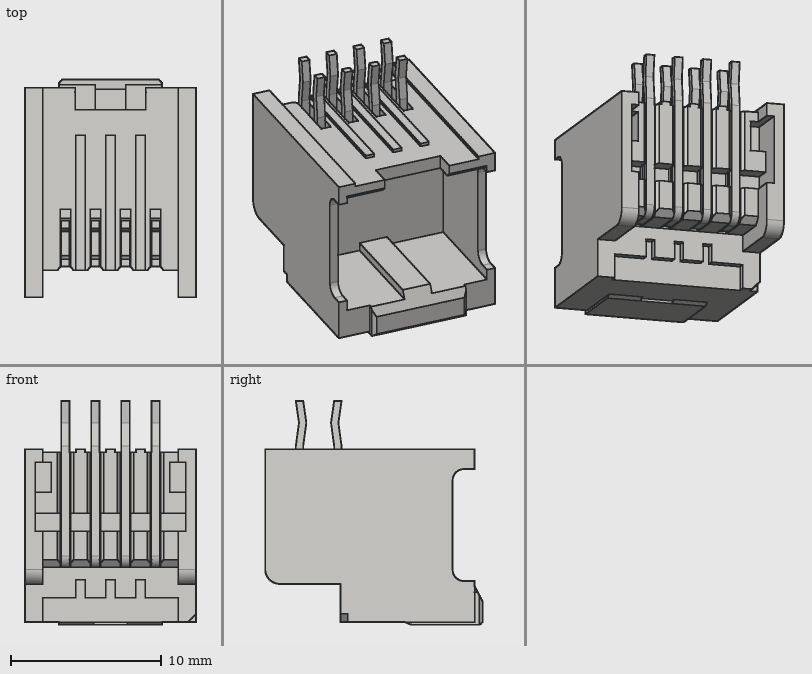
import cadquery as cq


total_height = 14.9
total_depth = 14.5
housing_width = 11.4
housing_depth = 13.95
housing_bottom = 0.18
housing_top = 11.7

wall_thickness = 1.2
inner_half = housing_width / 2 - wall_thickness
wall_front_bottom = 2.71
wall_corner_radius = 1.0
lower_front = 5.0
block_front = 1.79
block_bottom = 3.83
block_edge_chamfer = 0.5
deck_top = 11.49

terminal_count = 4
pitch = 2.0
strip_width = 0.57
strip_thickness = 0.5
bend_inner_radius = 0.27
front_leg_front = 2.04
rear_leg_back = 5.1
tail_bend_start = 11.92
tail_kink = 13.44
tail_kink_shift = 0.21
slot_width = 0.69
slot_back = 5.87
slot_mouth_width = 1.07
slot_mouth_depth = 0.24
slot_ramp = 0.25

rib_count = terminal_count - 1
rib_width = 0.61
rib_back = 10.77
key_notch_top = 3.01

panel_recess_depth = 0.6
panel_recess_top = 1.8
corner_mark = 0.55
corner_mark_depth = 0.5
wall_groove_depth = 0.5
groove_half = inner_half + wall_groove_depth
groove_bottom = 6.23
groove_top = 10.83
cross_slot_top = 7.42
cross_slot_back = 3.13
pocket_width = 1.05
pocket_bottom = 8.82
pocket_back = 3.13

cavity_front = 6.85
cavity_wall = 0.6
cavity_half = housing_width / 2 - cavity_wall
cavity_floor = 2.18
cavity_top = 10.56
mouth_chamfer = 0.3
notch_front = 12.49
side_notch_bottom = 2.92
side_notch_top = 10.35
side_notch_radius = 0.75
deck_notch_half = 2.35

tab_width = 6.88
tab_front = 9.31
tab_ramp_length = 0.4
tab_notch_width = 2.2
tab_top_back = 14.15
tab_slope_bottom = 1.52
tab_corner_chamfer = 0.24
tab_bottom_chamfer = 0.21
key_width = 2.0
key_back = 13.85


def box(x0, x1, y0, y1, z0, z1):
    """Axis-aligned block between two opposite corners."""
    return cq.Workplane("XY").box(x1 - x0, y1 - y0, z1 - z0, centered=False).translate((x0, y0, z0))


def centred_box(width, y0, y1, z0, z1, x=0.0):
    """Block of the given width centred on x."""
    return box(x - width / 2, x + width / 2, y0, y1, z0, z1)


def side_profile(points, width, x=0.0):
    """Outline of (Y, Z) points, extruded to the given width and centred on x."""
    plane = cq.Workplane("YZ", origin=(x - width / 2, 0, 0))
    return plane.polyline(points).close().extrude(width)


def row(count):
    """X positions of evenly pitched features, centred on the part."""
    return [(i - (count - 1) / 2) * pitch for i in range(count)]


def side_walls():
    wall_outline = [
        (0, wall_front_bottom),
        (lower_front, wall_front_bottom),
        (lower_front, housing_bottom),
        (housing_depth, housing_bottom),
        (housing_depth, housing_top),
        (0, housing_top),
    ]
    walls = side_profile(wall_outline, housing_width)
    walls = walls.edges(cq.selectors.NearestToPointSelector((0, 0, wall_front_bottom)))
    walls = walls.fillet(wall_corner_radius)
    gap = centred_box(2 * inner_half, 0, housing_depth, 0, housing_top)
    groove = centred_box(2 * groove_half, 0, block_front, groove_bottom, groove_top)
    return walls.cut(gap).cut(groove)


def central_block():
    block_outline = [
        (block_front, block_bottom + block_edge_chamfer),
        (block_front + block_edge_chamfer, block_bottom),
        (lower_front, block_bottom),
        (lower_front, housing_bottom),
        (housing_depth, housing_bottom),
        (housing_depth, deck_top),
        (block_front, deck_top),
    ]
    block = side_profile(block_outline, 2 * inner_half)
    for x in row(rib_count):
        block = block.union(centred_box(rib_width, block_front, rib_back, deck_top, housing_top, x))
    return block


def terminal_slot(x):
    """Slot open to the top and front, with a flared mouth and a ramp up to its rear floor."""
    slot = side_profile([
        (block_front, block_bottom),
        (lower_front, block_bottom),
        (lower_front + slot_ramp, block_bottom + slot_ramp),
        (slot_back, block_bottom + slot_ramp),
        (slot_back, deck_top),
        (block_front, deck_top),
    ], slot_width, x)
    mouth_points = [
        (x - slot_mouth_width / 2, block_front),
        (x + slot_mouth_width / 2, block_front),
        (x + slot_width / 2, block_front + slot_mouth_depth),
        (x - slot_width / 2, block_front + slot_mouth_depth),
    ]
    mouth = cq.Workplane("XY").workplane(offset=block_bottom).polyline(mouth_points).close()
    mouth = mouth.extrude(deck_top - block_bottom)
    return slot.union(mouth)


def front_recesses():
    """Lower panel with its key notches, the cross slot and the two corner pockets."""
    panel_back = lower_front + panel_recess_depth
    cuts = centred_box(2 * inner_half, lower_front, panel_back, housing_bottom, panel_recess_top)
    for x in row(rib_count):
        cuts = cuts.union(
            centred_box(rib_width, lower_front, panel_back, panel_recess_top, key_notch_top, x)
        )
    cuts = cuts.union(
        centred_box(2 * groove_half, block_front, cross_slot_back, groove_bottom, cross_slot_top)
    )
    for side in (-1, 1):
        pocket_x = side * (groove_half - pocket_width / 2)
        cuts = cuts.union(
            centred_box(pocket_width, block_front, pocket_back, pocket_bottom, groove_top, pocket_x)
        )
    return cuts


def corner_mark_cut():
    """Chamfer at the lower front corner of the +X wall that marks the first terminal."""
    outer = housing_width / 2
    mark = cq.Workplane("XZ", origin=(0, lower_front, 0)).polyline([
        (outer, housing_bottom),
        (outer - corner_mark, housing_bottom),
        (outer, housing_bottom + corner_mark),
    ])
    return mark.close().extrude(-corner_mark_depth)


def mating_cavity():
    """Rear cavity with a bevelled upper lip."""
    return side_profile([
        (cavity_front, cavity_floor),
        (housing_depth, cavity_floor),
        (housing_depth, cavity_top + mouth_chamfer),
        (housing_depth - mouth_chamfer, cavity_top),
        (cavity_front, cavity_top),
    ], 2 * cavity_half)


def rear_notches():
    """Rounded notch through both side walls and a square notch in the deck."""
    side_notch = centred_box(
        housing_width, notch_front, housing_depth, side_notch_bottom, side_notch_top
    )
    side_notch = side_notch.edges("|X and <Y").fillet(side_notch_radius)
    deck_notch = centred_box(
        2 * deck_notch_half, notch_front, housing_depth, cavity_top, deck_top
    )
    return side_notch.union(deck_notch)


def latch_tab():
    """Bevelled tab around the lower rear edge, with a notched ramp under the housing."""
    ramp_end = tab_front + tab_ramp_length
    tab = side_profile([
        (tab_front, housing_bottom),
        (ramp_end, 0),
        (total_depth - tab_bottom_chamfer, 0),
        (total_depth, tab_bottom_chamfer),
        (total_depth, cavity_floor),
        (housing_depth, cavity_floor),
        (housing_depth, housing_bottom),
    ], tab_width)
    tab = tab.edges("|Z and >Y").chamfer(tab_corner_chamfer)
    bevel = side_profile([
        (total_depth, tab_slope_bottom),
        (total_depth, cavity_floor),
        (tab_top_back, cavity_floor),
    ], tab_width)
    notch = centred_box(tab_notch_width, tab_front, ramp_end, 0, housing_bottom)
    return tab.cut(bevel).cut(notch)


def latch_key():
    """Raised middle of the cavity floor that continues the slope of the tab."""
    slope = (cavity_floor - tab_slope_bottom) / (total_depth - tab_top_back)
    key_top = cavity_floor + slope * (tab_top_back - key_back)
    return side_profile([
        (cavity_front, cavity_floor),
        (tab_top_back, cavity_floor),
        (key_back, key_top),
        (cavity_front, key_top),
    ], key_width)


def make_housing():
    housing = side_walls().union(central_block())
    for x in row(terminal_count):
        housing = housing.cut(terminal_slot(x))
    housing = housing.cut(front_recesses()).cut(corner_mark_cut())
    housing = housing.cut(mating_cavity()).cut(rear_notches())
    return housing.union(latch_tab()).union(latch_key())


def make_terminal(x):
    """U-shaped strip with two legs whose tails kink towards each other."""
    outer_radius = bend_inner_radius + strip_thickness
    front_inner = front_leg_front + strip_thickness
    rear_inner = rear_leg_back - strip_thickness
    strip = side_profile([
        (front_leg_front, block_bottom),
        (rear_leg_back, block_bottom),
        (rear_leg_back, tail_bend_start),
        (rear_leg_back - tail_kink_shift, tail_kink),
        (rear_leg_back, total_height),
        (rear_inner, total_height),
        (rear_inner - tail_kink_shift, tail_kink),
        (rear_inner, tail_bend_start),
        (rear_inner, block_bottom + strip_thickness),
        (front_inner, block_bottom + strip_thickness),
        (front_inner, tail_bend_start),
        (front_inner + tail_kink_shift, tail_kink),
        (front_inner, total_height),
        (front_leg_front, total_height),
        (front_leg_front + tail_kink_shift, tail_kink),
        (front_leg_front, tail_bend_start),
    ], strip_width, x)
    for y in (front_inner, rear_inner):
        inner_corner = (x, y, block_bottom + strip_thickness)
        strip = strip.edges(cq.selectors.NearestToPointSelector(inner_corner)).fillet(bend_inner_radius)
    for y in (front_leg_front, rear_leg_back):
        outer_corner = (x, y, block_bottom)
        strip = strip.edges(cq.selectors.NearestToPointSelector(outer_corner)).fillet(outer_radius)
    return strip


housing = make_housing()
terminals = [make_terminal(x) for x in row(terminal_count)]

result = cq.Compound.makeCompound([housing.val(), *[terminal.val() for terminal in terminals]])